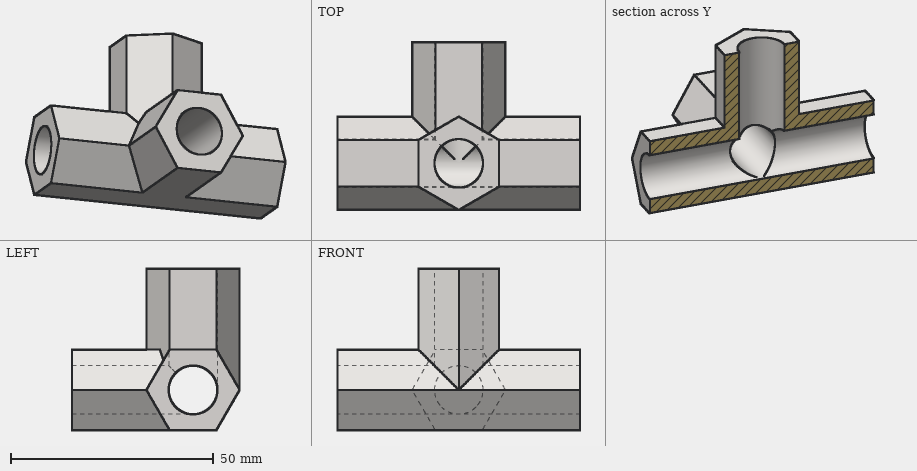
import cadquery as cq
import math

run_length = 60.0
arm_length = run_length / 2
across_flats = run_length / 3
across_corners = across_flats / math.cos(math.radians(30))
bore_diameter = 12.0

run_plane = cq.Plane(origin=(-arm_length, 0, 0), xDir=(0, 1, 0), normal=(1, 0, 0))
upright_plane = cq.Plane(origin=(0, 0, 0), xDir=(0, 1, 0), normal=(0, 0, 1))
side_plane = cq.Plane(origin=(0, 0, 0), xDir=(1, 0, 0), normal=(0, 1, 0))

tubes = [
    (run_plane, run_length),
    (upright_plane, arm_length),
    (side_plane, arm_length),
]


def hexagonal_bar(plane, length):
    return cq.Workplane(plane).polygon(6, across_corners).extrude(length)


def bore(plane, length):
    return cq.Workplane(plane).circle(bore_diameter / 2).extrude(length)


result = cq.Workplane("XY")
for plane, length in tubes:
    result = result.union(hexagonal_bar(plane, length))
for plane, length in tubes:
    result = result.cut(bore(plane, length))